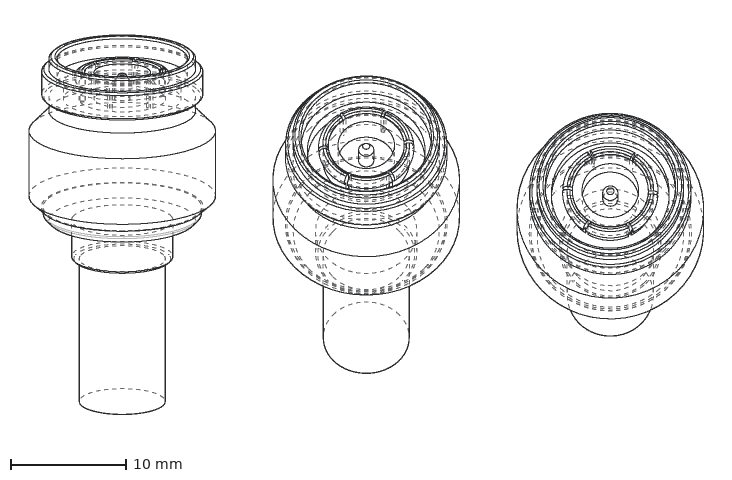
import cadquery as cq

total_height = 31.4
tube_top = 13.0
collar_top = 16.52
lip_top = 17.7
body_bottom = 18.68
body_top = 24.65
neck_bottom = 26.45
flange_bottom = 27.75
flange_top = 30.25

tube_radius = 3.75
collar_radius = 4.4
lip_radius = 6.88
lip_chamfer = 0.53
lip_blend_radius = 0.28
body_radius = 8.1
lower_cone_radius = 7.03
neck_radius = 6.37
flange_radius = 7.0
edge_chamfer = 0.2

mouth_radius = 5.65
mouth_depth = 1.85
socket_radius = 5.12
socket_depth = 3.85
mouth_cone_height = mouth_radius - socket_radius
socket_floor = total_height - socket_depth

ring_top = total_height - 1.35
ring_outer_radius = 4.15
ring_crown_radius = 3.77
ring_inner_radius = 3.3
ring_bulge_height = 1.07
ring_inner_chamfer = 0.22
slot_width = 0.28
slot_count = 6

insulator_top = total_height - 1.45
insulator_bore_radius = 2.45

pin_radius = 0.65
pin_tip_radius = 0.3
pin_top = total_height - 1.63
pin_tip_height = 0.55


def cylinder(radius, bottom, top):
    return cq.Workplane("XY").workplane(offset=bottom).circle(radius).extrude(top - bottom)


def revolve_profile(profile):
    return profile.close().revolve(360, (0, 0, 0), (0, 1, 0))


def make_shell():
    tube = cylinder(tube_radius, 0, tube_top)
    collar = cylinder(collar_radius, tube_top, collar_top).faces("<Z").chamfer(edge_chamfer)
    lip = cylinder(lip_radius, collar_top, lip_top).faces("<Z").chamfer(lip_chamfer)
    chamfer_corner = cq.selectors.NearestToPointSelector((0, 0, collar_top + lip_chamfer))
    lip = lip.edges("%CIRCLE").edges(chamfer_corner).fillet(lip_blend_radius)
    body = revolve_profile(
        cq.Workplane("XZ")
        .moveTo(0, lip_top)
        .lineTo(lower_cone_radius, lip_top)
        .lineTo(body_radius, body_bottom)
        .lineTo(body_radius, body_top)
        .lineTo(neck_radius, neck_bottom)
        .lineTo(0, neck_bottom)
    )
    neck = cylinder(neck_radius, neck_bottom, total_height).faces(">Z").chamfer(edge_chamfer)
    flange = cylinder(flange_radius, flange_bottom, flange_top).edges().chamfer(edge_chamfer)
    return tube.union(collar).union(lip).union(body).union(neck).union(flange)


def make_socket():
    return revolve_profile(
        cq.Workplane("XZ")
        .moveTo(0, socket_floor)
        .lineTo(socket_radius, socket_floor)
        .lineTo(socket_radius, total_height - mouth_depth - mouth_cone_height)
        .lineTo(mouth_radius, total_height - mouth_depth)
        .lineTo(mouth_radius, total_height - edge_chamfer)
        .lineTo(mouth_radius + edge_chamfer, total_height)
        .lineTo(0, total_height)
    )


def make_contact_ring():
    ring = revolve_profile(
        cq.Workplane("XZ")
        .moveTo(ring_inner_radius, socket_floor)
        .lineTo(ring_crown_radius, socket_floor)
        .lineTo(ring_crown_radius, ring_top - ring_bulge_height)
        .threePointArc((ring_outer_radius, ring_top - ring_bulge_height / 2), (ring_crown_radius, ring_top))
        .lineTo(ring_inner_radius + ring_inner_chamfer, ring_top)
        .lineTo(ring_inner_radius, ring_top - ring_inner_chamfer)
    )
    for index in range(slot_count):
        slot = (
            cq.Workplane("XY")
            .workplane(offset=socket_floor)
            .center(ring_outer_radius / 2, 0)
            .rect(ring_outer_radius, slot_width)
            .extrude(socket_depth)
            .rotate((0, 0, 0), (0, 0, 1), index * 360 / slot_count)
        )
        ring = ring.cut(slot)
    return ring


def make_insulator():
    outside = cylinder(ring_inner_radius, socket_floor, insulator_top)
    return outside.cut(cylinder(insulator_bore_radius, socket_floor, insulator_top))


def make_pin():
    return revolve_profile(
        cq.Workplane("XZ")
        .moveTo(0, socket_floor)
        .lineTo(pin_radius, socket_floor)
        .lineTo(pin_radius, pin_top - pin_tip_height)
        .lineTo(pin_tip_radius, pin_top)
        .lineTo(0, pin_top)
    )


housing = make_shell().cut(make_socket())
result = housing.union(make_contact_ring()).union(make_insulator()).union(make_pin())